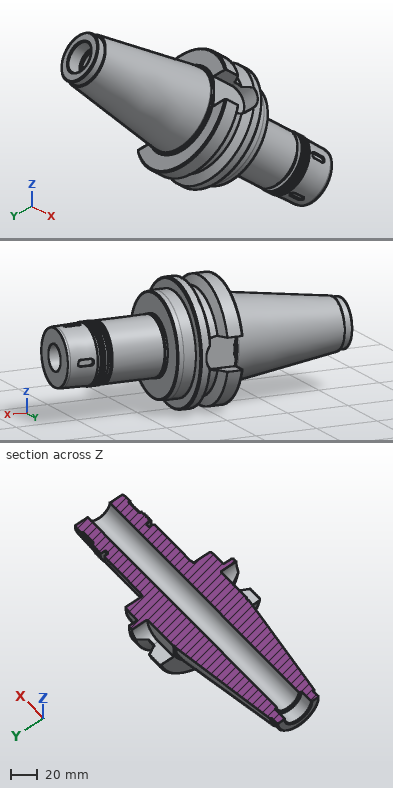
import cadquery as cq


PILOT_DIA = 40.0
PILOT_CHAMFER = 0.7
TAPER_START = 7.0
TAPER_END = 101.0
TAPER_RATIO = 7 / 24
LAND_DIA = 69.9
LAND_END = 102.5
RELIEF_DIA = 69.5
RECESS_DIA = 73.0
RECESS_DEPTH = 0.7
TAPER_START_DIA = LAND_DIA - TAPER_RATIO * (TAPER_END - TAPER_START)

FLANGE_START = 104.2
FLANGE_END = 140.0
FLANGE_DIA = 100.0
FLANGE_CHAMFER = 1.0
GROOVE_MIDDLE = 124.5
GROOVE_MOUTH_WIDTH = 15.0
GROOVE_FLOOR_WIDTH = 6.5
GROOVE_DIA = 84.3

BOSS_DIA = 82.9
BOSS_RIM_START = 150.0
BOSS_RIM_DIA = 82.0
BOSS_END = 154.9
BOSS_CHAMFER = 0.7

COLLAR_DIA = 48.8
COLLAR_END = 156.8
COLLAR_CONE_LENGTH = 0.7
BODY_DIA = 48.0
BODY_END = 201.3
BODY_CHAMFER = 1.0
NECK_DIA = 39.0

NUT_START = 204.4
BAND_DIA = 48.8
BAND_END = 212.6
RING_GROOVE_STARTS = (206.5, 209.3)
RING_GROOVE_WIDTH = 1.0
RING_GROOVE_DEPTH = 0.5
SLEEVE_DIA = 47.8
SLEEVE_TIP_DIA = 46.6
SLEEVE_CHAMFER_LENGTH = 2.1
SLEEVE_CHAMFER_DEPTH = 0.5
TOTAL_LENGTH = 236.8

SPANNER_SLOT_COUNT = 4
SPANNER_SLOT_START = 215.7
SPANNER_SLOT_LENGTH = 12.8
SPANNER_SLOT_WIDTH = 5.2
SPANNER_SLOT_DEPTH = 2.0

DRIVE_SLOT_WIDTH = 26.3
DRIVE_SLOT_END = 135.5
DRIVE_SLOT_FLOOR = 35.3

MOUTH_DIA = 25.0
MOUTH_CHAMFER = 0.7
MOUTH_DEPTH = 11.8
STEP_DIA = 23.0
SHOULDER_LENGTH = 1.0
BORE_DIA = 21.0


def turned_body():
    """Revolve the outer half profile; points are (x, radius)."""
    pilot_r = PILOT_DIA / 2
    relief_r = RELIEF_DIA / 2
    flange_r = FLANGE_DIA / 2
    rim_r = BOSS_RIM_DIA / 2
    body_r = BODY_DIA / 2
    tip_r = SLEEVE_TIP_DIA / 2
    half_mouth = GROOVE_MOUTH_WIDTH / 2
    half_floor = GROOVE_FLOOR_WIDTH / 2
    sleeve_chamfer_start = TOTAL_LENGTH - SLEEVE_CHAMFER_LENGTH

    profile = (
        cq.Workplane("XY")
        .moveTo(0, 0)
        .lineTo(0, pilot_r - PILOT_CHAMFER)
        .lineTo(PILOT_CHAMFER, pilot_r)
        .lineTo(TAPER_START, pilot_r)
        .lineTo(TAPER_START, TAPER_START_DIA / 2)
        .lineTo(TAPER_END, LAND_DIA / 2)
        .lineTo(LAND_END, LAND_DIA / 2)
        .lineTo(LAND_END, relief_r)
        .lineTo(FLANGE_START + RECESS_DEPTH, relief_r)
        .lineTo(FLANGE_START, RECESS_DIA / 2)
        .lineTo(FLANGE_START, flange_r - FLANGE_CHAMFER)
        .lineTo(FLANGE_START + FLANGE_CHAMFER, flange_r)
        .lineTo(GROOVE_MIDDLE - half_mouth, flange_r)
        .lineTo(GROOVE_MIDDLE - half_floor, GROOVE_DIA / 2)
        .lineTo(GROOVE_MIDDLE + half_floor, GROOVE_DIA / 2)
        .lineTo(GROOVE_MIDDLE + half_mouth, flange_r)
        .lineTo(FLANGE_END - FLANGE_CHAMFER, flange_r)
        .lineTo(FLANGE_END, flange_r - FLANGE_CHAMFER)
        .lineTo(FLANGE_END, BOSS_DIA / 2)
        .lineTo(BOSS_RIM_START, BOSS_DIA / 2)
        .lineTo(BOSS_END - BOSS_CHAMFER, rim_r)
        .lineTo(BOSS_END, rim_r - BOSS_CHAMFER)
        .lineTo(BOSS_END, COLLAR_DIA / 2)
        .lineTo(COLLAR_END, COLLAR_DIA / 2)
        .lineTo(COLLAR_END + COLLAR_CONE_LENGTH, body_r)
        .lineTo(BODY_END - BODY_CHAMFER, body_r)
        .lineTo(BODY_END, body_r - BODY_CHAMFER)
        .lineTo(BODY_END, NECK_DIA / 2)
        .lineTo(NUT_START, NECK_DIA / 2)
        .lineTo(NUT_START, BAND_DIA / 2)
        .lineTo(BAND_END, BAND_DIA / 2)
        .lineTo(BAND_END, SLEEVE_DIA / 2)
        .lineTo(sleeve_chamfer_start, tip_r)
        .lineTo(TOTAL_LENGTH, tip_r - SLEEVE_CHAMFER_DEPTH)
        .lineTo(TOTAL_LENGTH, 0)
        .close()
    )
    return profile.revolve(360, (0, 0, 0), (1, 0, 0))


def bore():
    """Stepped hole along the whole axis."""
    shoulder_end = MOUTH_DEPTH + SHOULDER_LENGTH
    return (
        cq.Workplane("XY")
        .moveTo(0, 0)
        .lineTo(0, MOUTH_DIA / 2 + MOUTH_CHAMFER)
        .lineTo(MOUTH_CHAMFER, MOUTH_DIA / 2)
        .lineTo(MOUTH_DEPTH, MOUTH_DIA / 2)
        .lineTo(MOUTH_DEPTH, STEP_DIA / 2)
        .lineTo(shoulder_end, BORE_DIA / 2)
        .lineTo(TOTAL_LENGTH, BORE_DIA / 2)
        .lineTo(TOTAL_LENGTH, 0)
        .close()
        .revolve(360, (0, 0, 0), (1, 0, 0))
    )


def ring_groove(start):
    """Shallow groove around the ringed band of the nut."""
    return (
        cq.Workplane("YZ", origin=(start, 0, 0))
        .circle(BAND_DIA / 2)
        .circle(BAND_DIA / 2 - RING_GROOVE_DEPTH)
        .extrude(RING_GROOVE_WIDTH)
    )


def drive_slot(side):
    """Flat-floored slot with a round end, open to the shank; side is +1 or -1 along Y."""
    half_width = DRIVE_SLOT_WIDTH / 2
    round_center = DRIVE_SLOT_END - half_width
    return (
        cq.Workplane("XZ", origin=(0, side * DRIVE_SLOT_FLOOR, 0))
        .moveTo(LAND_END, -half_width)
        .lineTo(round_center, -half_width)
        .threePointArc((DRIVE_SLOT_END, 0), (round_center, half_width))
        .lineTo(LAND_END, half_width)
        .close()
        .extrude(-side * FLANGE_DIA / 2)
    )


def spanner_slot(angle):
    """Round-ended pocket in the nut sleeve, turned about the X axis."""
    middle = SPANNER_SLOT_START + SPANNER_SLOT_LENGTH / 2
    floor = SLEEVE_DIA / 2 - SPANNER_SLOT_DEPTH
    return (
        cq.Workplane("XY", origin=(middle, 0, floor))
        .slot2D(SPANNER_SLOT_LENGTH, SPANNER_SLOT_WIDTH)
        .extrude(2 * SPANNER_SLOT_DEPTH)
        .rotate((0, 0, 0), (1, 0, 0), angle)
    )


result = turned_body().cut(bore())

for groove_start in RING_GROOVE_STARTS:
    result = result.cut(ring_groove(groove_start))

for slot_side in (1, -1):
    result = result.cut(drive_slot(slot_side))

for slot_index in range(SPANNER_SLOT_COUNT):
    result = result.cut(spanner_slot(slot_index * 360 / SPANNER_SLOT_COUNT))